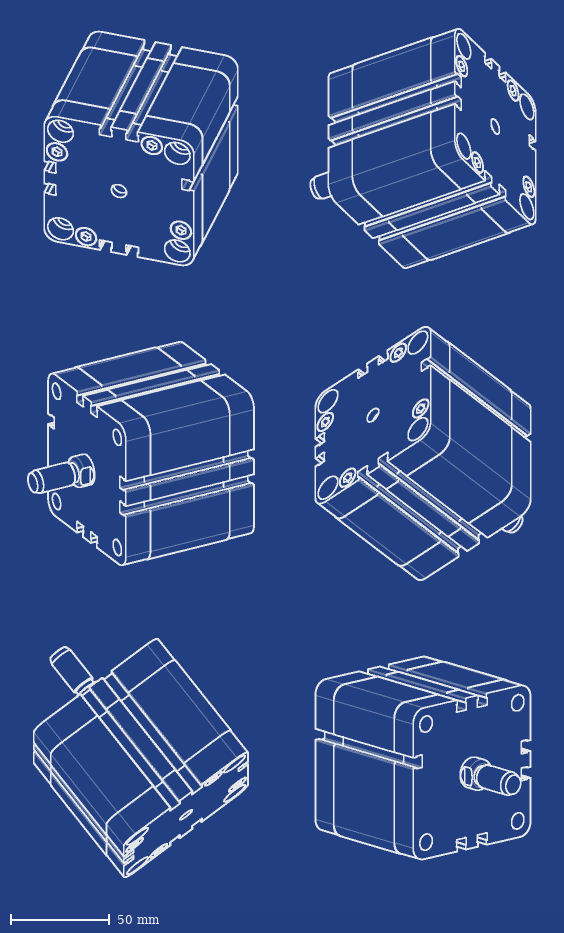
import cadquery as cq
import math


total_length = 106.5
barrel_side = 80.0
cap_side = 79.6
corner_radius = 7.2
cap_length = 14.3
block_length = 74.9
barrel_length = block_length - 2 * cap_length

slot_depth = 6.5
slot_mouth_width = 5.5
slot_inner_width = 6.6
slot_lip_depth = 2.7
slot_offset = 7.0
single_slot_offset = 11.9
slot_mouth_radius = 0.4
slot_floor_radius = 0.4
barrel_floor_step = 0.1

mount_offset = 31.0
mount_hole_diameter = 8.4
mount_bore_diameter = 13.5
mount_bore_depth = 8.9

screw_long_offset = 32.9
screw_short_offset = 17.5
screw_recess_diameter = 11.1
screw_head_diameter = 10.5
screw_recess_depth = 6.0
hex_across_flats = 5.0
hex_depth = 3.2

centre_hole_diameter = 8.0
centre_hole_depth = 4.0

rod_diameter = 16.0
rod_length = 7.5
rod_fillet = 1.7
flat_width = 13.0
flat_start = 1.9
neck_diameter = 10.0
thread_diameter = 12.0
thread_length = 21.5
thread_tip_diameter = 10.0
tip_chamfer_length = 2.9
thread_end_chamfer = 0.3

mid_arc = math.sqrt(0.5)


def front_plane(y):
    """Plane at the given Y whose local axes are X and Z and whose normal is +Y."""
    return cq.Workplane(cq.Plane(origin=(0, y, 0), xDir=(1, 0, 0), normal=(0, 1, 0)))


def cylinder(diameter, start, length, points=((0, 0),)):
    """Cylinders parallel to Y at (x, z) points."""
    centres = [(x, -z) for x, z in points]
    return front_plane(start).pushPoints(centres).circle(diameter / 2).extrude(length)


def slot(offset, turn, side, start, length, floor_height):
    """T-slot in the +Z side at X = offset, turned clockwise about the rod axis as seen from -Y."""
    half_mouth = slot_mouth_width / 2
    half_inner = slot_inner_width / 2
    half_side = side / 2
    lip_height = barrel_side / 2 - slot_lip_depth
    radius = slot_mouth_radius
    bulge = radius * (1 - mid_arc)
    outline = (
        front_plane(start)
        .moveTo(-half_inner, -floor_height)
        .lineTo(half_inner, -floor_height)
        .lineTo(half_inner, -lip_height)
        .lineTo(half_mouth, -lip_height)
        .lineTo(half_mouth, radius - half_side)
        .threePointArc((half_mouth + bulge, bulge - half_side), (half_mouth + radius, -half_side))
        .lineTo(-half_mouth - radius, -half_side)
        .threePointArc((-half_mouth - bulge, bulge - half_side), (-half_mouth, radius - half_side))
        .lineTo(-half_mouth, -lip_height)
        .lineTo(-half_inner, -lip_height)
        .close()
    )
    cutter = outline.extrude(length)
    cutter = cutter.faces("<Z").edges("|Y").fillet(slot_floor_radius)
    return cutter.translate((offset, 0, 0)).rotate((0, 0, 0), (0, 1, 0), turn)


def slotted_section(side, start, length, floor_height):
    """Square bar along Y with rounded corners and a T-slot at each slot position."""
    section = front_plane(start).rect(side, side).extrude(length).edges("|Y").fillet(corner_radius)
    positions = [(offset, turn) for turn in (0, 180, 270) for offset in (-slot_offset, slot_offset)]
    positions.append((-single_slot_offset, 90))
    for offset, turn in positions:
        section = section.cut(slot(offset, turn, side, start, length, floor_height))
    return section


def make_block():
    """Barrel between two slightly narrower caps, with slot floors slightly deeper in the barrel."""
    cap_floor = barrel_side / 2 - slot_depth
    barrel_floor = cap_floor - barrel_floor_step
    front_cap = slotted_section(cap_side, 0, cap_length, cap_floor)
    barrel = slotted_section(barrel_side, cap_length, barrel_length, barrel_floor)
    rear_cap = slotted_section(cap_side, cap_length + barrel_length, cap_length, cap_floor)
    return front_cap.union(barrel).union(rear_cap)


def cut_mounting_holes(body):
    corners = [(x, z) for x in (-mount_offset, mount_offset) for z in (-mount_offset, mount_offset)]
    body = body.cut(cylinder(mount_hole_diameter, 0, block_length, corners))
    return body.cut(cylinder(mount_bore_diameter, 0, mount_bore_depth, corners))


def add_screws(body):
    """Socket screws flush with the front cap, each inside a slightly larger recess."""
    centres = [
        (screw_short_offset, screw_long_offset),
        (screw_long_offset, -screw_short_offset),
        (-screw_short_offset, -screw_long_offset),
        (-screw_long_offset, screw_short_offset),
    ]
    hex_across_corners = hex_across_flats / math.cos(math.radians(30))
    body = body.cut(cylinder(screw_recess_diameter, 0, screw_recess_depth, centres))
    body = body.union(cylinder(screw_head_diameter, 0, screw_recess_depth, centres))
    for x, z in centres:
        socket = front_plane(0).polygon(6, hex_across_corners).extrude(hex_depth)
        socket = socket.rotate((0, 0, 0), (0, 1, 0), 30).translate((x, 0, z))
        body = body.cut(socket)
    return body


def make_rod():
    """Turned rod with a threaded end, then two wrench flats on the +X and -X sides."""
    rod_end = block_length + rod_length
    thread_start = total_length - thread_length
    rod_radius = rod_diameter / 2
    neck_radius = neck_diameter / 2
    thread_radius = thread_diameter / 2
    fillet_midpoint = (
        rod_radius - rod_fillet * (1 - mid_arc),
        rod_end - rod_fillet * (1 - mid_arc),
    )
    thread_outline = [
        (neck_radius, rod_end),
        (neck_radius, thread_start),
        (thread_radius - thread_end_chamfer, thread_start),
        (thread_radius, thread_start + thread_end_chamfer),
        (thread_radius, total_length - tip_chamfer_length),
        (thread_tip_diameter / 2, total_length),
        (0, total_length),
    ]
    profile = (
        cq.Workplane("XY")
        .moveTo(0, block_length)
        .lineTo(rod_radius, block_length)
        .lineTo(rod_radius, rod_end - rod_fillet)
        .threePointArc(fillet_midpoint, (rod_radius - rod_fillet, rod_end))
        .polyline(thread_outline, includeCurrent=True)
        .close()
    )
    rod = profile.revolve(360, (0, 0, 0), (0, 1, 0))

    flat_x = flat_width / 2
    flat_depth = rod_radius - flat_x
    flat_y = block_length + flat_start
    flat_outline = [
        (flat_x, rod_end),
        (flat_x, flat_y),
        (rod_radius, flat_y - flat_depth),
        (rod_radius, rod_end),
    ]
    flat = cq.Workplane("XY").polyline(flat_outline).close().extrude(rod_radius, both=True)
    return rod.cut(flat).cut(flat.mirror("YZ"))


block = cut_mounting_holes(make_block())
block = add_screws(block)
block = block.cut(cylinder(centre_hole_diameter, 0, centre_hole_depth))
result = block.union(make_rod())